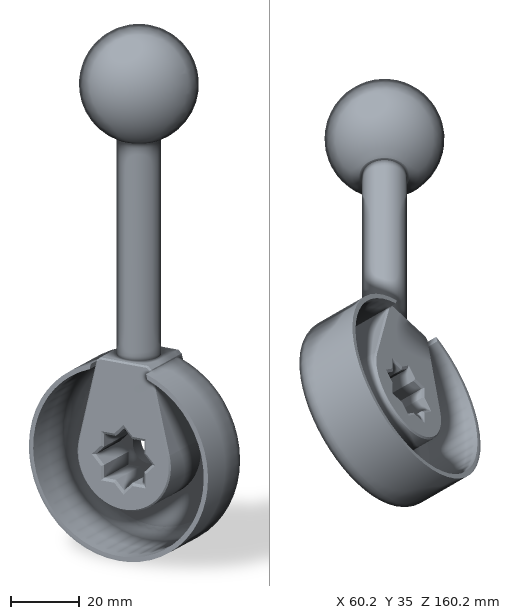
import cadquery as cq
import math

overall_length = 160.2

cup_radius = 30.1
cup_front = -11.9
cup_back = 10.3
wall = 1.5
cup_edge_radius = 4.8
floor_face = cup_back - wall

boss_radius = 15.7
boss_half_top = 9.0
boss_top = 30.0
boss_front = -9.0
boss_back = -boss_front
boss_corner_chamfer = 1.0
boss_front_chamfer = 0.5
notch_height = 8.0

socket_half_side = 6.7
socket_flare = 0.8
socket_flare_depth = 0.5
socket_floor = 5.6
bore_radius = 5.3

rod_diameter = 13.0
rod_embed = 1.6
ball_radius = 17.5
ball_flat_drop = 15.9
ball_center = overall_length - cup_radius - ball_radius
ball_flat = ball_center - ball_flat_drop


def xz_plane(y):
    """Sketch plane facing -Y, so extrusions run from y towards -Y."""
    return cq.Workplane("XZ", origin=(0, y, 0))


def disc(radius, front, back):
    """Cylinder about the Y axis between two Y positions."""
    return xz_plane(back).circle(radius).extrude(back - front)


def make_cup():
    shell = disc(cup_radius, cup_front, cup_back)
    shell = shell.faces(">Y").edges().fillet(cup_edge_radius)
    cavity = disc(cup_radius - wall, cup_front, floor_face)
    cavity = cavity.faces(">Y").edges().fillet(cup_edge_radius - wall)
    return shell.cut(cavity)


def teardrop(front, back):
    """Block with a round bottom and two tangent sides rising to a flat top."""
    corner_direction = math.atan2(boss_top, boss_half_top)
    corner_distance = math.hypot(boss_half_top, boss_top)
    tangent = corner_direction - math.acos(boss_radius / corner_distance)
    tangent_x = boss_radius * math.cos(tangent)
    tangent_z = boss_radius * math.sin(tangent)
    return (
        xz_plane(back)
        .moveTo(-boss_half_top, boss_top)
        .lineTo(boss_half_top, boss_top)
        .lineTo(tangent_x, tangent_z)
        .threePointArc((0, -boss_radius), (-tangent_x, tangent_z))
        .close()
        .extrude(back - front)
    )


def make_boss():
    boss = teardrop(boss_front, boss_back)
    boss = boss.faces(">Z").edges("|Y").chamfer(boss_corner_chamfer)
    return boss.faces("<Y").edges().chamfer(boss_front_chamfer)


def make_notch():
    """Opening through the cup wall where the boss reaches it."""
    notch = teardrop(cup_front, boss_back)
    above = cq.Workplane("XY").box(
        2 * boss_half_top, boss_back - cup_front, notch_height, centered=(True, False, False)
    )
    return notch.union(above.translate((0, cup_front, boss_top)))


def make_star():
    """Socket made of two squares turned 45 degrees to each other, with a flared mouth."""
    side = 2 * socket_half_side
    mouth_side = side + 2 * socket_flare
    straight = xz_plane(socket_floor).rect(side, side).extrude(socket_floor - boss_front)
    flare = (
        xz_plane(boss_front + socket_flare_depth)
        .rect(side, side)
        .workplane(offset=socket_flare_depth)
        .rect(mouth_side, mouth_side)
        .loft(ruled=True)
    )
    square = straight.union(flare)
    return square.union(square.rotate((0, 0, 0), (0, 1, 0), 45))


def make_lever():
    rod_bottom = boss_top - rod_embed
    rod_length = ball_center - rod_bottom
    rod = cq.Workplane("XY", origin=(0, 0, rod_bottom)).circle(rod_diameter / 2).extrude(rod_length)
    ball = cq.Workplane("XY", origin=(0, 0, ball_center)).sphere(ball_radius)
    below_flat = cq.Workplane("XY", origin=(0, 0, ball_flat)).circle(ball_radius).extrude(-ball_radius)
    return rod.union(ball.cut(below_flat))


body = make_cup().cut(make_notch()).union(make_boss())
body = body.cut(make_star()).cut(disc(bore_radius, boss_front, cup_back))
result = body.union(make_lever())